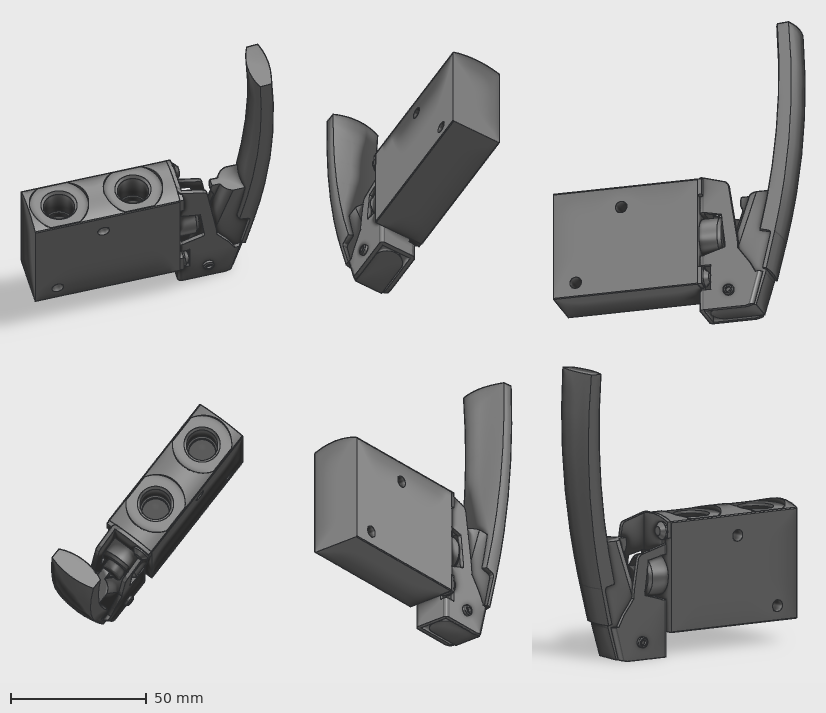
import cadquery as cq
import math


HOUSING_WIDTH = 20.0
HOUSING_LENGTH = 55.2
HOUSING_BOTTOM = 9.4
HOUSING_TOP = 52.7
ARCH_DROP = 1.9
HOUSING_EDGE_BREAK = 0.3
PORT_PLACES = (11.7, 39.9)
PORT_SEAT_DIAMETER = 21.9
PORT_SEAT_Z = 51.0
PORT_MOUTH_DIAMETER = 13.3
PORT_DIAMETER = 11.5
PORT_DEPTH = 10.9
PORT_CORE_DIAMETER = 10.0
PORT_CORE_DEPTH = 13.1
MOUNT_HOLE_DIAMETER = 4.4
MOUNT_HOLE_PLACES = ((8.5, 15.0), (26.0, 43.0))

BUTTON_Z = 30.1
COLLAR_DIAMETER = 16.0
COLLAR_END_Y = 63.3
COLLAR_CHAMFER = 1.2
BUTTON_DIAMETER = 8.0
BUTTON_END_Y = 66.9
BUTTON_DEPTH = 4.4
BUTTON_ROUNDING = 0.5

SHEET = 1.5
BRACKET_WIDTH = 14.9
EAR_WIDTH = 19.5
EAR_BOTTOM = 44.8
LOW_EAR_BOTTOM = 9.6
LOW_EAR_TOP = 16.4
BEND_ROUNDING = 1.4
BACK_EDGE_ROUNDING = 1.4
SCREW_X = 6.6
SCREW_Z_OFFSET = 17.3
SCREW_RIM_DIAMETER = 6.8
SCREW_RIM_HEIGHT = 0.7
SCREW_TIP_DIAMETER = 3.5
SCREW_CONE_HEIGHT = 1.6
LOW_OPENING_BOTTOM = 7.8
LOW_OPENING_TOP = 17.5
LOW_OPENING_END_Y = 59.6
LOW_OPENING_WIDTH = 2.8

PIN_Y = 66.6
PIN_Z = 6.7
PIN_DIAMETER = 3.1
PIN_LENGTH = 17.9
PIN_HEAD_DIAMETER = 4.0
PIN_HEAD_CHAMFER = 0.4
PIN_DIMPLE_DIAMETER = 2.1
PIN_DIMPLE_DEPTH = 1.1

HANDLE_BACK_Y = 92.4
HANDLE_TOP = 109.3
BEND_RADIUS = 262.3
BEND_Z = 89.6
HANDLE_END_ANGLE = 13.6
HANDLE_THICKNESS = 8.0
BACK_CROWN_RADIUS = 30.6
FRONT_CROWN_RADIUS = 22.4
HANDLE_TOP_HALF_WIDTH = 9.6
HANDLE_TAPER = 0.027
LEAF_LENGTH = 14.4
LEAF_THICKNESS = 2.3
LEAF_ROUNDING = 1.3
BLOCK_WIDTH = 11.1
BLOCK_TOP = 45.1
BLOCK_TILT = 18.4
BLOCK_FRONT_Y = 72.5
BLOCK_NOSE = 3.9
BLOCK_DEPTH = 27.3
BLOCK_REACH = 65.6
RIB_WIDTH = 3.0
BLOCK_OUTLINE = [(54.7, BLOCK_TOP), (83.6, BLOCK_TOP), (83.1, 27.3), (80.1, 12.9), (76.5, 0.7), (54.7, 0.7)]
RIB_OUTLINE = [
    (74.3, BLOCK_TOP),
    (69.6, BLOCK_TOP),
    (69.3, 44.0),
    (69.3, 41.8),
    (70.2, 39.8),
    (67.0, BUTTON_Z),
    (72.1, BUTTON_Z),
]

HALF_HOUSING = HOUSING_WIDTH / 2
HALF_BRACKET = BRACKET_WIDTH / 2
WEB_FRONT_Y = HOUSING_LENGTH + SHEET
BEND_CENTER_Y = HANDLE_BACK_Y - BEND_RADIUS
HANDLE_TOP_ANGLE = math.degrees(math.asin((HANDLE_TOP - BEND_Z) / BEND_RADIUS))


def arched_block(width, y_start, y_end, bottom):
    """Block along Y whose top is an arch through the housing's crown."""
    arch_radius = (HALF_HOUSING**2 + ARCH_DROP**2) / (2 * ARCH_DROP)
    half = width / 2
    shoulder = HOUSING_TOP - arch_radius + math.sqrt(arch_radius**2 - half**2)
    return (
        cq.Workplane("XZ", origin=(0, y_start, 0))
        .moveTo(-half, bottom)
        .lineTo(half, bottom)
        .lineTo(half, shoulder)
        .threePointArc((0, HOUSING_TOP), (-half, shoulder))
        .close()
        .extrude(y_start - y_end)
    )


def rod_y(diameter, y_start, y_end, x, z):
    """Round rod along +Y."""
    return cq.Workplane("XZ", origin=(x, y_start, z)).circle(diameter / 2).extrude(y_start - y_end)


def rod_x(diameter, length, y, z):
    """Round rod along X, centred on X = 0."""
    return cq.Workplane("YZ", origin=(0, y, z)).circle(diameter / 2).extrude(length / 2, both=True)


def plate_x(points, x_start, x_end):
    """Flat plate with a (Y, Z) outline, between two X positions."""
    return cq.Workplane("YZ", origin=(x_start, 0, 0)).polyline(points).close().extrude(x_end - x_start)


def make_button():
    button = rod_y(BUTTON_DIAMETER, HOUSING_LENGTH - BUTTON_DEPTH, BUTTON_END_Y, 0, BUTTON_Z)
    return button.faces(">Y").edges().fillet(BUTTON_ROUNDING)


def port_cutter(y):
    """Flat seat, countersunk mouth and stepped bore of one port."""
    half_seat = PORT_SEAT_DIAMETER / 2
    half_mouth = PORT_MOUTH_DIAMETER / 2
    half_port = PORT_DIAMETER / 2
    half_core = PORT_CORE_DIAMETER / 2
    mouth_depth = half_mouth - half_port
    outline = [
        (0, HOUSING_TOP - PORT_SEAT_Z),
        (half_seat, HOUSING_TOP - PORT_SEAT_Z),
        (half_seat, 0),
        (half_mouth, 0),
        (half_port, -mouth_depth),
        (half_port, -PORT_DEPTH),
        (half_core, -PORT_DEPTH),
        (half_core, -PORT_CORE_DEPTH),
        (0, -PORT_CORE_DEPTH),
    ]
    cutter = cq.Workplane("XZ").polyline(outline).close().revolve(360, (0, 0, 0), (0, 1, 0))
    return cutter.translate((0, y, PORT_SEAT_Z))


def make_housing():
    housing = arched_block(HOUSING_WIDTH, 0, HOUSING_LENGTH, HOUSING_BOTTOM)
    housing = housing.edges("|Y").chamfer(HOUSING_EDGE_BREAK)
    for y in PORT_PLACES:
        housing = housing.cut(port_cutter(y))
    for y, z in MOUNT_HOLE_PLACES:
        housing = housing.cut(rod_x(MOUNT_HOLE_DIAMETER, HOUSING_WIDTH, y, z))
    collar = rod_y(COLLAR_DIAMETER, HOUSING_LENGTH, COLLAR_END_Y, 0, BUTTON_Z)
    collar = collar.faces(">Y").edges().chamfer(COLLAR_CHAMFER)
    bore = rod_y(BUTTON_DIAMETER, HOUSING_LENGTH - BUTTON_DEPTH, COLLAR_END_Y, 0, BUTTON_Z)
    return housing.union(collar).cut(bore)


PLATE_FOOT = [(HOUSING_LENGTH, 0), (72.9, 0), (75.9, 0.7), (79.1, 13.1)]
PLATE_BACK = [(76.6, 13.1), (74.3, 17.3), (70.0, 23.2), (69.7, 26.5), (67.8, 39.0)]
LOW_PLATE_TOP = [(HOUSING_LENGTH, 42.4)]
HIGH_PLATE_TOP = [(66.1, 49.3), (HOUSING_LENGTH, 52.5)]
PLATE_WINDOW = [(63.6, 37.0), (57.1, 38.4), (54.7, 38.4), (54.7, 21.4), (56.8, 21.4), (65.3, 24.0)]
PLATE_CORNER_ROUNDING = 2.2
WINDOW_CORNER_ROUNDING = 0.9


def bracket_side(top_points, side):
    """Half of the bent sheet: one side plate with its half of the web; side is -1 or +1 along X."""
    reach = PLATE_FOOT[-1][0] - HOUSING_LENGTH
    inner = HALF_BRACKET - SHEET
    sheet = (
        cq.Workplane("XY")
        .polyline(
            [
                (0, HOUSING_LENGTH),
                (side * HALF_BRACKET, HOUSING_LENGTH),
                (side * HALF_BRACKET, HOUSING_LENGTH + reach),
                (side * inner, HOUSING_LENGTH + reach),
                (side * inner, WEB_FRONT_Y),
                (0, WEB_FRONT_Y),
            ]
        )
        .close()
        .extrude(HOUSING_TOP)
    )
    bend = cq.selectors.NearestToPointSelector((side * HALF_BRACKET, HOUSING_LENGTH, HOUSING_TOP / 2))
    sheet = sheet.edges(bend).fillet(BEND_ROUNDING)

    outline = plate_x(PLATE_FOOT + PLATE_BACK + top_points, -HALF_HOUSING, HALF_HOUSING)
    corner_y, corner_z = (PLATE_BACK + top_points)[-2]
    corner = cq.selectors.NearestToPointSelector((0, corner_y, corner_z))
    outline = outline.edges("|X").edges(corner).fillet(PLATE_CORNER_ROUNDING)
    plate = sheet.intersect(outline)

    back_y = (PLATE_FOOT[-2][0] + PLATE_FOOT[-1][0]) / 2
    back_z = (PLATE_FOOT[-2][1] + PLATE_FOOT[-1][1]) / 2
    back_edge = cq.selectors.NearestToPointSelector((side * HALF_BRACKET, back_y, back_z))
    return plate.edges(back_edge).fillet(BACK_EDGE_ROUNDING)


def screw_head(x, z):
    """Rim and cone of a screw head standing on the web."""
    slope = math.degrees(math.atan((SCREW_RIM_DIAMETER - SCREW_TIP_DIAMETER) / 2 / SCREW_CONE_HEIGHT))
    rim = rod_y(SCREW_RIM_DIAMETER, WEB_FRONT_Y, WEB_FRONT_Y + SCREW_RIM_HEIGHT, x, z)
    base = rim.faces(">Y").workplane().circle(SCREW_RIM_DIAMETER / 2)
    return base.extrude(SCREW_CONE_HEIGHT, taper=slope)


def make_bracket():
    inner = HALF_BRACKET - SHEET
    bracket = bracket_side(LOW_PLATE_TOP, -1).union(bracket_side(HIGH_PLATE_TOP, 1))

    neck = arched_block(2 * inner, HOUSING_LENGTH, WEB_FRONT_Y, LOW_PLATE_TOP[0][1] - SHEET)
    upper_ears = arched_block(EAR_WIDTH, HOUSING_LENGTH, WEB_FRONT_Y, EAR_BOTTOM)
    bracket = bracket.union(neck).union(upper_ears)

    opening = cq.Workplane("XY").box(
        LOW_OPENING_WIDTH,
        LOW_OPENING_END_Y - HOUSING_LENGTH,
        LOW_OPENING_TOP - LOW_OPENING_BOTTOM,
        centered=False,
    )
    opening = opening.translate((HALF_BRACKET - LOW_OPENING_WIDTH, HOUSING_LENGTH, LOW_OPENING_BOTTOM))
    low_ear = cq.Workplane("XY").box(EAR_WIDTH / 2, SHEET, LOW_EAR_TOP - LOW_EAR_BOTTOM, centered=False)
    low_ear = low_ear.translate((0, HOUSING_LENGTH, LOW_EAR_BOTTOM))
    bracket = bracket.cut(opening).union(low_ear)

    window = plate_x(PLATE_WINDOW, -HALF_BRACKET, HALF_BRACKET)
    bracket = bracket.cut(window.edges("|X").edges(">Y").fillet(WINDOW_CORNER_ROUNDING))
    bracket = bracket.cut(rod_y(COLLAR_DIAMETER, HOUSING_LENGTH, COLLAR_END_Y, 0, BUTTON_Z))
    bracket = bracket.cut(rod_x(PIN_DIAMETER, BRACKET_WIDTH, PIN_Y, PIN_Z))

    for side in (-1, 1):
        bracket = bracket.union(screw_head(side * SCREW_X, BUTTON_Z - side * SCREW_Z_OFFSET))
    return bracket


def make_pin():
    head_length = (PIN_LENGTH - BRACKET_WIDTH) / 2
    pin = rod_x(PIN_DIAMETER, BRACKET_WIDTH, PIN_Y, PIN_Z)
    for side in (-1, 1):
        head = (
            cq.Workplane("YZ", origin=(side * HALF_BRACKET, PIN_Y, PIN_Z))
            .circle(PIN_HEAD_DIAMETER / 2)
            .extrude(side * head_length)
        )
        end = ">X" if side > 0 else "<X"
        head = head.faces(end).edges().chamfer(PIN_HEAD_CHAMFER)
        dimple = (
            cq.Workplane("YZ", origin=(side * PIN_LENGTH / 2, PIN_Y, PIN_Z))
            .circle(PIN_DIMPLE_DIAMETER / 2)
            .extrude(-side * PIN_DIMPLE_DEPTH)
        )
        pin = pin.union(head).cut(dimple)
    return pin


def lens_section(thickness, front_radius):
    """Crowned section of the lever at its bend height; a front radius of None leaves the front flat."""
    half = HALF_HOUSING
    back_y = HANDLE_BACK_Y - BACK_CROWN_RADIUS + math.sqrt(BACK_CROWN_RADIUS**2 - half**2)
    front_y = HANDLE_BACK_Y - thickness
    section = cq.Workplane("XY", origin=(0, 0, BEND_Z)).moveTo(-half, back_y)
    section = section.threePointArc((0, HANDLE_BACK_Y), (half, back_y))
    if front_radius is None:
        return section.lineTo(half, front_y).lineTo(-half, front_y).close()
    side_y = front_y + front_radius - math.sqrt(front_radius**2 - half**2)
    return section.lineTo(half, side_y).threePointArc((0, front_y), (-half, side_y)).close()


def swing(body, angle):
    """Turn a body down along the handle's bend."""
    return body.rotate((0, BEND_CENTER_Y, BEND_Z), (1, BEND_CENTER_Y, BEND_Z), -angle)


def make_handle_and_leaf():
    handle = lens_section(HANDLE_THICKNESS, FRONT_CROWN_RADIUS).revolve(
        HANDLE_TOP_ANGLE + HANDLE_END_ANGLE, (0, BEND_CENTER_Y, 0), (1, BEND_CENTER_Y, 0)
    )
    leaf = lens_section(LEAF_THICKNESS, None).extrude(-LEAF_LENGTH)
    step = cq.selectors.NearestToPointSelector((0, HANDLE_BACK_Y - LEAF_THICKNESS, BEND_Z))
    strip = handle.union(leaf).edges("|X").edges(step).fillet(LEAF_ROUNDING)
    strip = swing(strip, HANDLE_END_ANGLE)
    top_half = HANDLE_TOP_HALF_WIDTH
    bottom_half = top_half - HANDLE_TAPER * HANDLE_TOP
    taper = (
        cq.Workplane("XZ")
        .polyline([(-bottom_half, 0), (bottom_half, 0), (top_half, HANDLE_TOP), (-top_half, HANDLE_TOP)])
        .close()
        .extrude(-HANDLE_BACK_Y)
    )
    return strip.intersect(taper)


def make_block():
    """Block between the plates: a tilted prism with a round nose, trimmed to the lever's back."""
    half = BLOCK_WIDTH / 2
    prism = (
        cq.Workplane("XY", origin=(0, BLOCK_FRONT_Y, BLOCK_TOP - BLOCK_REACH))
        .moveTo(-half, BLOCK_NOSE)
        .threePointArc((0, 0), (half, BLOCK_NOSE))
        .lineTo(half, BLOCK_DEPTH)
        .lineTo(-half, BLOCK_DEPTH)
        .close()
        .extrude(2 * BLOCK_REACH)
    )
    prism = prism.rotate((0, BLOCK_FRONT_Y, BLOCK_TOP), (1, BLOCK_FRONT_Y, BLOCK_TOP), -BLOCK_TILT)
    return prism.intersect(plate_x(BLOCK_OUTLINE, -half, half))


def make_lever(button):
    rib = plate_x(RIB_OUTLINE, -RIB_WIDTH / 2, RIB_WIDTH / 2)
    lever = make_handle_and_leaf().union(make_block()).union(rib)
    return lever.cut(button).cut(rod_x(PIN_DIAMETER, BLOCK_WIDTH, PIN_Y, PIN_Z))


button = make_button()
housing = make_housing()
bracket = make_bracket()
pin = make_pin()
lever = make_lever(button)

bodies = [housing, button, bracket, pin, lever]
result = cq.Compound.makeCompound([body.solids().val() for body in bodies])